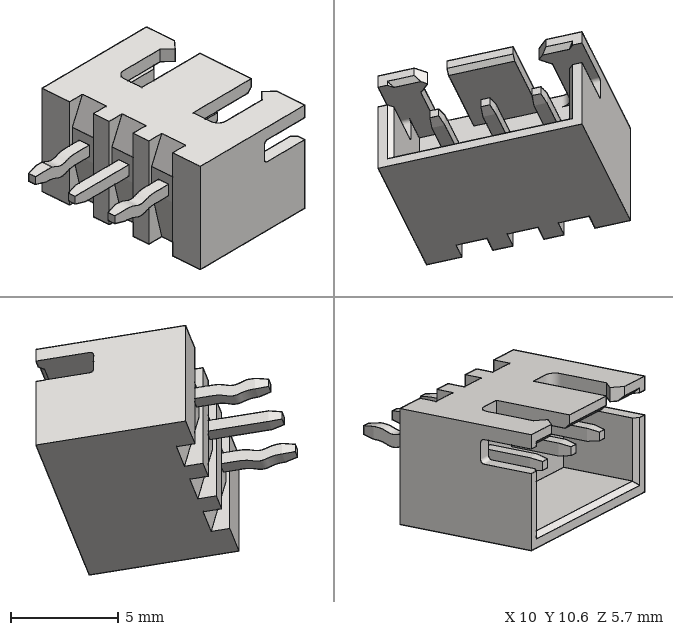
import cadquery as cq


width = 10.0
height = 5.7
overall_length = 10.6
pin_projection = 3.4
housing_length = overall_length - pin_projection
wall = 0.7
mouth_chamfer = 0.24
cavity_depth = 4.01
cavity_floor_y = housing_length - cavity_depth

latch_outer_x = 3.22
latch_inner_x = 1.62
latch_corner_radius = 0.5
hook_size = 0.5

side_slot_depth = 2.78
side_slot_height = 1.21
side_slot_radius = 0.2
side_slot_top_z = height - wall

pin_pitch = 2.5
pin_size = 0.64
pin_axis_below_top = 2.33
pin_z = height - pin_axis_below_top
tip_size = 0.43
tip_length = 0.61
mating_tip_gap = 0.8
pin_front_y = housing_length - mating_tip_gap
pin_rear_y = -pin_projection

kink_start_y = -1.04
kink_valley_y = -1.73
kink_end_y = -2.37
kink_drop = 0.25
bend_radius = 1.5
valley_radius = bend_radius / 2

recess_width = 1.5
recess_depth = 0.89
land_depth = 0.19
upper_slope_height = 1.49
land_height = 1.41
land_top_z = height - upper_slope_height
land_bottom_z = land_top_z - land_height


def box(x_range, y_range, z_range):
    """Box between two limits on each axis."""
    spans = (x_range, y_range, z_range)
    sizes = [high - low for low, high in spans]
    corner = tuple(low for low, high in spans)
    return cq.Workplane("XY").box(*sizes, centered=False).translate(corner)


def make_cavity():
    """Mating cavity with a chamfered mouth."""
    cavity_width = width - 2 * wall
    cavity_height = height - 2 * wall
    cavity = box(
        (-cavity_width / 2, cavity_width / 2),
        (cavity_floor_y, housing_length),
        (wall, height - wall),
    )
    mouth = (
        cq.Workplane("XZ", origin=(0, housing_length, height / 2))
        .rect(cavity_width + 2 * mouth_chamfer, cavity_height + 2 * mouth_chamfer)
        .workplane(offset=mouth_chamfer)
        .rect(cavity_width, cavity_height)
        .loft(ruled=True)
    )
    return cavity.union(mouth)


def make_latch_slot():
    """Slot through the top wall on the +X side, with a pointed hook at its mouth."""
    return (
        cq.Workplane("XY", origin=(0, 0, height - wall))
        .moveTo(latch_inner_x, cavity_floor_y)
        .lineTo(latch_outer_x - latch_corner_radius, cavity_floor_y)
        .radiusArc((latch_outer_x, cavity_floor_y + latch_corner_radius), -latch_corner_radius)
        .lineTo(latch_outer_x, housing_length - 2 * hook_size)
        .lineTo(latch_outer_x - hook_size, housing_length - hook_size)
        .lineTo(latch_outer_x, housing_length)
        .lineTo(latch_inner_x, housing_length)
        .close()
        .extrude(wall)
    )


def make_side_slots():
    """Rounded slot that opens both side walls at the mouth."""
    slots = box(
        (-width / 2, width / 2),
        (housing_length - side_slot_depth, housing_length),
        (side_slot_top_z - side_slot_height, side_slot_top_z),
    )
    return slots.edges("|X and <Y").fillet(side_slot_radius)


def make_recess(x):
    """Rear recess with a flat land round the pin and slopes above and below it."""
    return (
        cq.Workplane("YZ", origin=(x - recess_width / 2, 0, 0))
        .polyline([
            (0, 0),
            (recess_depth, 0),
            (land_depth, land_bottom_z),
            (land_depth, land_top_z),
            (recess_depth, height),
            (0, height),
        ])
        .close()
        .extrude(recess_width)
    )


def make_side_outline(kinked):
    """Pin outline seen along X, as points running rearward on top and forward underneath."""
    half = pin_size / 2
    half_tip = tip_size / 2
    top_z = pin_z + half
    bottom_z = pin_z - half
    top_kink = []
    bottom_kink = []
    if kinked:
        top_kink = [
            (kink_start_y, top_z),
            (kink_valley_y, top_z - kink_drop),
            (kink_end_y, top_z),
        ]
        bottom_kink = [
            (kink_end_y, bottom_z),
            (kink_valley_y, bottom_z - kink_drop),
            (kink_start_y, bottom_z),
        ]
    return [
        (pin_front_y, pin_z + half_tip),
        (pin_front_y - tip_length, top_z),
        *top_kink,
        (pin_rear_y + tip_length, top_z),
        (pin_rear_y, pin_z + half_tip),
        (pin_rear_y, pin_z - half_tip),
        (pin_rear_y + tip_length, bottom_z),
        *bottom_kink,
        (pin_front_y - tip_length, bottom_z),
        (pin_front_y, pin_z - half_tip),
    ]


def make_pin_blank(kinked):
    """Square bar along Y with the given side outline."""
    return (
        cq.Workplane("YZ", origin=(-pin_size / 2, 0, 0))
        .polyline(make_side_outline(kinked))
        .close()
        .extrude(pin_size)
    )


def taper_sides(blank):
    """Narrow both ends of a pin in X."""
    half = pin_size / 2
    half_tip = tip_size / 2
    plan = (
        cq.Workplane("XY")
        .polyline([
            (half_tip, pin_front_y),
            (half, pin_front_y - tip_length),
            (half, pin_rear_y + tip_length),
            (half_tip, pin_rear_y),
            (-half_tip, pin_rear_y),
            (-half, pin_rear_y + tip_length),
            (-half, pin_front_y - tip_length),
            (-half_tip, pin_front_y),
        ])
        .close()
        .extrude(height)
    )
    return blank.intersect(plan)


def round_bend(blank, y, side, radius):
    """Round the edge along X at position y, on the top (side 1) or underside (side -1) of a pin."""
    margin = 0.01
    selector = cq.selectors.BoxSelector(
        (-pin_size, y - margin, pin_z),
        (pin_size, y + margin, pin_z + side * pin_size),
    )
    return blank.edges("|X").edges(selector).fillet(radius)


def make_straight_pin():
    """Straight square pin, tapered at both ends."""
    return taper_sides(make_pin_blank(kinked=False))


def make_kinked_pin(sharp_ramp):
    """Pin with a kink; sharp_ramp keeps the rear ramp edge crisp and rounds the tip shoulder instead."""
    blank = make_pin_blank(kinked=True)
    top_rear_bend_y = pin_rear_y + tip_length if sharp_ramp else kink_end_y
    for side, rear_bend_y in ((1, top_rear_bend_y), (-1, kink_end_y)):
        blank = round_bend(blank, kink_start_y, side, bend_radius)
        blank = round_bend(blank, kink_valley_y, side, valley_radius)
        blank = round_bend(blank, rear_bend_y, side, bend_radius)
    return taper_sides(blank)


result = box((-width / 2, width / 2), (0, housing_length), (0, height))
result = result.cut(make_cavity()).cut(make_side_slots())
latch_slot = make_latch_slot()
result = result.cut(latch_slot).cut(latch_slot.mirror("YZ"))
for x in (-pin_pitch, 0, pin_pitch):
    result = result.cut(make_recess(x))

result = result.union(make_kinked_pin(sharp_ramp=True).translate((-pin_pitch, 0, 0)))
result = result.union(make_straight_pin())
result = result.union(make_kinked_pin(sharp_ramp=False).translate((pin_pitch, 0, 0)))